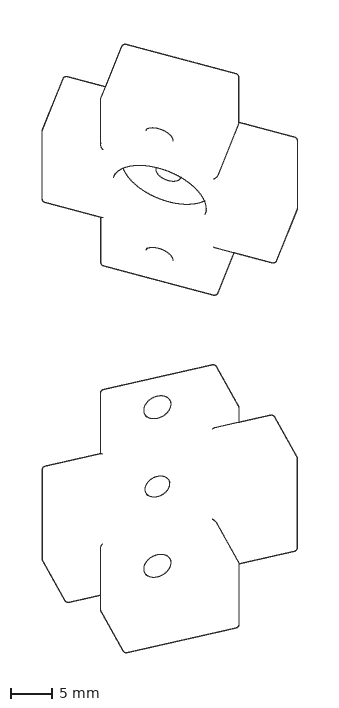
import cadquery as cq

height = 35.0
span = 30.0
thickness = 9.0
bar_width = span / 2
edge_radius = 0.5

screw_hole_diameter = 3.5
screw_hole_offset = 12.5
center_hole_diameter = 3.2
recess_diameter = 12.0
recess_depth = 4.0

front_y = -thickness / 2


def bore(diameter, depth, z=0):
    """Cylinder cutting inward from the front face."""
    return (
        cq.Workplane("XZ", origin=(0, front_y, z))
        .circle(diameter / 2)
        .extrude(-depth)
    )


def rounded_bar(length_x, length_z):
    """Centered bar of full thickness with every edge rounded."""
    return cq.Workplane("XY").box(length_x, thickness, length_z).edges().fillet(edge_radius)


body = rounded_bar(bar_width, height).union(rounded_bar(span, bar_width))

for z in (-screw_hole_offset, screw_hole_offset):
    body = body.cut(bore(screw_hole_diameter, thickness, z))

body = body.cut(bore(recess_diameter, recess_depth))
body = body.cut(bore(center_hole_diameter, thickness))

result = body.faces("<Y").edges("%CIRCLE").fillet(edge_radius)